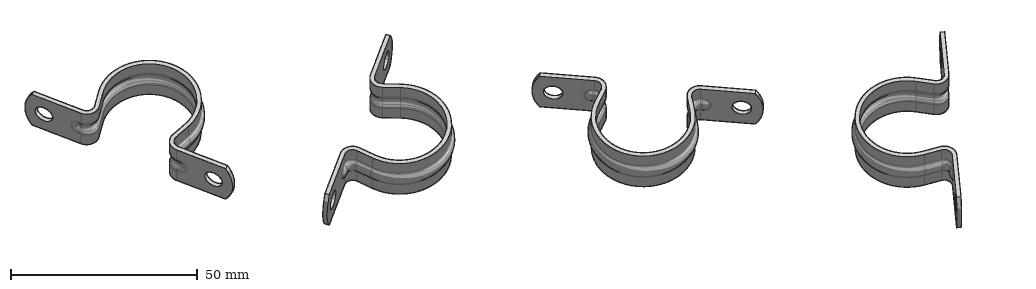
import cadquery as cq
import math


overall_length = 62.3
overall_depth = 27.15
strip_width = 12.7
thickness = 1.25

hoop_inner_radius = 12.7
hoop_outer_radius = hoop_inner_radius + thickness
neck_angle = math.radians(15.0)
bend_inner_radius = 2.2

foot_end_sagitta = 2.1
hole_diameter = 5.25
hole_spacing = 50.8

bead_height = 0.9
bead_mouth_width = 4.7
groove_radius = 1.85
bead_end_x = 14.8

hoop_center_y = overall_depth - bead_height - hoop_outer_radius
bend_center_y = thickness + bend_inner_radius
bend_center_x = (
    hoop_outer_radius
    + bend_inner_radius
    - (hoop_center_y - bend_center_y) * math.sin(neck_angle)
) / math.cos(neck_angle)

bead_half_width = bead_mouth_width / 2
flank_angle = 2 * math.atan(bead_height / bead_half_width)
lip_radius = bead_half_width / math.sin(flank_angle) - groove_radius


def polar(center, radius, angle):
    """Point at the given radius and angle around a centre."""
    return (center[0] + radius * math.cos(angle), center[1] + radius * math.sin(angle))


def trace_face(start, inset, direction):
    """Draw from one foot over the hoop to the other, on the sheet surface inset from the outer face.

    direction is 1 to run towards +X and -1 to run towards -X.
    """
    bend_center = (bend_center_x, bend_center_y)
    bend_radius = bend_inner_radius + inset
    bend_foot = polar(bend_center, bend_radius, 1.5 * math.pi)
    bend_middle = polar(bend_center, bend_radius, 1.25 * math.pi - neck_angle / 2)
    bend_neck = polar(bend_center, bend_radius, math.pi - neck_angle)
    hoop_neck = polar((0, hoop_center_y), hoop_outer_radius - inset, -neck_angle)
    hoop_top = (0, hoop_center_y + hoop_outer_radius - inset)

    def near(point):
        return (-direction * point[0], point[1])

    def far(point):
        return (direction * point[0], point[1])

    return (
        start.lineTo(*near(bend_foot))
        .threePointArc(near(bend_middle), near(bend_neck))
        .lineTo(*near(hoop_neck))
        .threePointArc(hoop_top, far(hoop_neck))
        .lineTo(*far(bend_neck))
        .threePointArc(far(bend_middle), far(bend_foot))
    )


def make_strip():
    """Plain bent strip with square foot ends."""
    tip_x = overall_length / 2
    outer_face = trace_face(cq.Workplane("XY").moveTo(-tip_x, thickness), 0, 1)
    foot_tip = outer_face.lineTo(tip_x, thickness).lineTo(tip_x, 0)
    inner_face = trace_face(foot_tip, thickness, -1)
    return inner_face.lineTo(-tip_x, 0).close().extrude(strip_width / 2, both=True)


def make_foot_outline():
    """Block with rounded ends, deep enough to trim the whole strip."""
    tip_x = overall_length / 2
    corner_x = tip_x - foot_end_sagitta
    half_width = strip_width / 2
    return (
        cq.Workplane("XZ")
        .moveTo(-corner_x, -half_width)
        .lineTo(corner_x, -half_width)
        .threePointArc((tip_x, 0), (corner_x, half_width))
        .lineTo(-corner_x, half_width)
        .threePointArc((-tip_x, 0), (-corner_x, -half_width))
        .close()
        .extrude(-overall_depth)
    )


def make_holes():
    """Screw holes, one through each foot."""
    return (
        cq.Workplane("XZ")
        .pushPoints([(-hole_spacing / 2, 0), (hole_spacing / 2, 0)])
        .circle(hole_diameter / 2)
        .extrude(-thickness)
    )


def make_bead(inset, crown_radius, root_radius):
    """Bead bodies standing on the surface at the given inset: a run between the feet and two round ends."""
    upright = math.pi / 2
    crown_center = (0, bead_height - crown_radius)
    root_center = (bead_half_width, root_radius)
    root = (bead_half_width, 0)
    root_middle = polar(root_center, root_radius, -upright - flank_angle / 2)
    inflection = polar(root_center, root_radius, -upright - flank_angle)
    crown_middle = polar(crown_center, crown_radius, upright - flank_angle / 2)
    crown = (0, bead_height)

    def mirrored(point):
        return (-point[0], point[1])

    def start_section(end_x):
        """Section plane across the foot, started with the arc up from the root of the bead."""
        plane = cq.Plane(origin=(end_x, thickness - inset, 0), xDir=(0, 0, -1), normal=(1, 0, 0))
        return cq.Workplane(plane).moveTo(*root).threePointArc(root_middle, inflection)

    foot_start = cq.Workplane("XY").moveTo(-bead_end_x, thickness)
    path = trace_face(foot_start, 0, 1).lineTo(bead_end_x, thickness)
    run = (
        start_section(-bead_end_x)
        .threePointArc(crown, mirrored(inflection))
        .threePointArc(mirrored(root_middle), mirrored(root))
        .close()
        .sweep(path)
    )
    round_end = (
        start_section(bead_end_x)
        .threePointArc(crown_middle, crown)
        .lineTo(0, 0)
        .close()
        .revolve(180, (0, 0), (0, -1))
    )
    return [run, round_end, round_end.mirror("YZ")]


clamp = make_strip().intersect(make_foot_outline()).cut(make_holes())

for ridge in make_bead(0, groove_radius + thickness, lip_radius - thickness):
    clamp = clamp.union(ridge)
for groove in make_bead(thickness, groove_radius, lip_radius):
    clamp = clamp.cut(groove)

result = cq.Workplane(clamp.solids().val())